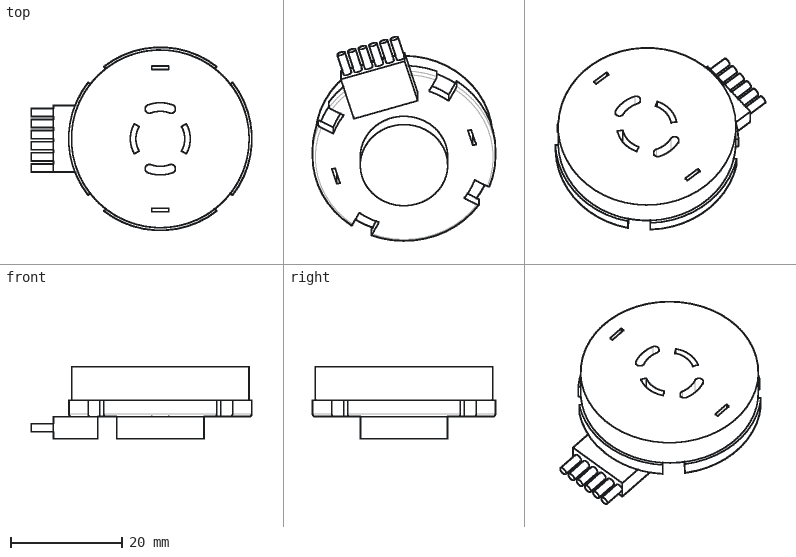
import cadquery as cq
import math

boss_radius = 7.875
boss_height = 4.0
flange_radius = 16.5
flange_height = 3.0
flange_fillet = 0.5
cap_radius = 16.0
cap_height = 6.0
flange_top = boss_height + flange_height
total_height = flange_top + cap_height

notch_width = 4.0
notch_floor_radius = 13.5
notch_angles = (45, 135, 225, 315)

through_slot_length = 3.0
through_slot_width = 0.6
through_slot_offset = 12.8

blind_slot_depth = cap_height
square_slot_inner_radius = 4.4
square_slot_outer_radius = 5.4
square_slot_half_angle = 30
round_slot_inner_radius = 4.95
round_slot_outer_radius = 6.5
round_slot_half_angle = 20

connector_length = 8.0
connector_width = 12.0
connector_height = boss_height
connector_outer_x = -19.24
pin_count = 6
pin_pitch = 2.0
pin_diameter = 1.5
pin_length = 4.0
pin_row_offset = -0.25


def disc(radius, height, base):
    return cq.Workplane("XY").workplane(offset=base).circle(radius).extrude(height)


def polar(radius, angle):
    radians = math.radians(angle)
    return (radius * math.cos(radians), radius * math.sin(radians))


def make_flange():
    flange = disc(flange_radius, flange_height, boss_height)
    flange = flange.faces("<Z").edges().fillet(flange_fillet)
    core = disc(notch_floor_radius, flange_height, boss_height)
    for angle in notch_angles:
        notch = (
            cq.Workplane("XY")
            .workplane(offset=boss_height)
            .center(flange_radius / 2, 0)
            .rect(flange_radius, notch_width)
            .extrude(flange_height)
            .rotate((0, 0, 0), (0, 0, 1), angle)
            .cut(core)
        )
        flange = flange.cut(notch)
    return flange


def make_curved_slot(inner_radius, outer_radius, half_angle, direction, round_ends):
    """Arc-shaped cutter centred on a direction, with round or radial ends."""
    start = direction - half_angle
    end = direction + half_angle
    outline = (
        cq.Workplane("XY")
        .workplane(offset=total_height)
        .moveTo(*polar(outer_radius, start))
        .threePointArc(polar(outer_radius, direction), polar(outer_radius, end))
    )
    if round_ends:
        middle_radius = (inner_radius + outer_radius) / 2
        end_radius = (outer_radius - inner_radius) / 2
        tip_angle = math.degrees(math.atan2(end_radius, middle_radius))
        tip_radius = math.hypot(middle_radius, end_radius)
        outline = (
            outline
            .threePointArc(polar(tip_radius, end + tip_angle), polar(inner_radius, end))
            .threePointArc(polar(inner_radius, direction), polar(inner_radius, start))
            .threePointArc(polar(tip_radius, start - tip_angle), polar(outer_radius, start))
        )
    else:
        outline = (
            outline
            .lineTo(*polar(inner_radius, end))
            .threePointArc(polar(inner_radius, direction), polar(inner_radius, start))
        )
    return outline.close().extrude(-blind_slot_depth)


def make_through_slots():
    return (
        cq.Workplane("XY")
        .pushPoints([(0, through_slot_offset), (0, -through_slot_offset)])
        .rect(through_slot_length, through_slot_width)
        .extrude(total_height)
    )


def make_connector():
    housing = (
        cq.Workplane("XY")
        .center(connector_outer_x + connector_length / 2, 0)
        .rect(connector_length, connector_width)
        .extrude(connector_height)
    )
    first_pin_y = pin_row_offset - pin_pitch * (pin_count - 1) / 2
    pin_centres = [
        (first_pin_y + index * pin_pitch, connector_height / 2)
        for index in range(pin_count)
    ]
    pins = (
        cq.Workplane("YZ")
        .workplane(offset=connector_outer_x)
        .pushPoints(pin_centres)
        .circle(pin_diameter / 2)
        .extrude(-pin_length)
    )
    return housing.union(pins)


boss = disc(boss_radius, boss_height, 0)
cap = disc(cap_radius, cap_height, flange_top)
result = boss.union(make_flange()).union(cap).union(make_connector())

result = result.cut(make_through_slots())
for direction in (0, 180):
    result = result.cut(make_curved_slot(
        square_slot_inner_radius, square_slot_outer_radius,
        square_slot_half_angle, direction, round_ends=False,
    ))
for direction in (90, 270):
    result = result.cut(make_curved_slot(
        round_slot_inner_radius, round_slot_outer_radius,
        round_slot_half_angle, direction, round_ends=True,
    ))